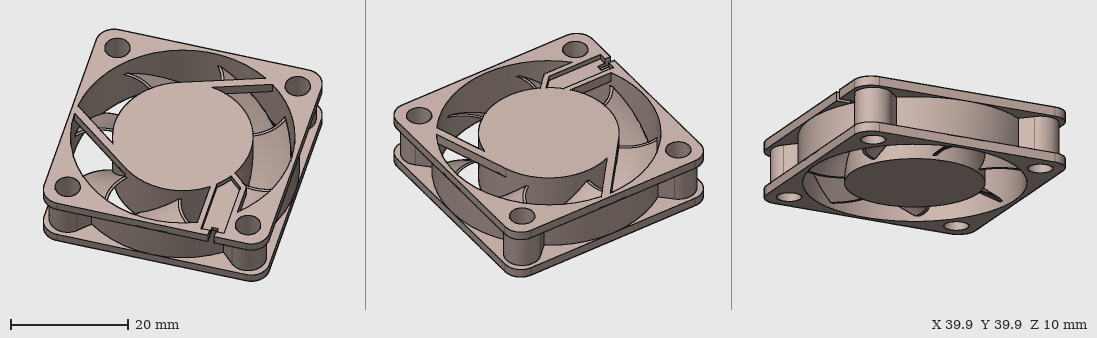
import cadquery as cq
import math

frame_size = 39.88
frame_height = 10.0
flange_thickness = 1.67
corner_radius = 3.2
duct_radius = 19.15
duct_wall_radius = frame_size / 2
hole_offset = 15.95
hole_diameter = 4.3
post_radius = 3.2

hub_radius = 12.0
spoke_width = 1.45
spoke_thickness = 1.9
spoke_angles = (19.0, 141.0)

channel_left = 8.4
channel_right = 12.5
channel_front = -18.8
channel_shoulder = -8.3
channel_slope_angle = 43.0
channel_wall = 0.95
channel_depth = 0.95
notch_left = 9.95
notch_width = 1.1
notch_end = -17.3

blade_count = 7
blade_bottom = 0.7
blade_top = 7.75
blade_twist = 36.6
blade_tip_radius = 18.5
blade_root_depth = 0.8
blade_root_radius = hub_radius - blade_root_depth
blade_thickness = 0.48
blade_arc_radius = 7.8
blade_arc_offset = 14.65
blade_arc_angle = 20.5

flange_bottom = frame_height - flange_thickness
spoke_bottom = frame_height - spoke_thickness


def flange(base):
    plate = cq.Workplane("XY").workplane(offset=base).rect(frame_size, frame_size)
    return plate.extrude(flange_thickness).edges("|Z").fillet(corner_radius)


def corner_post(angle):
    """Round post carried on a straight web that runs along the diagonal."""
    reach = hole_offset * math.sqrt(2)
    web = cq.Workplane("XY").center(reach / 2, 0).rect(reach, 2 * post_radius).extrude(frame_height)
    post = cq.Workplane("XY").center(reach, 0).circle(post_radius).extrude(frame_height)
    return web.union(post).rotate((0, 0, 0), (0, 0, 1), angle)


def frame():
    body = cq.Workplane("XY").circle(duct_wall_radius).extrude(frame_height)
    body = body.union(flange(0)).union(flange(flange_bottom))
    for angle in (45, 135, 225, 315):
        body = body.union(corner_post(angle))
    holes = (
        cq.Workplane("XY")
        .rect(2 * hole_offset, 2 * hole_offset, forConstruction=True)
        .vertices()
        .circle(hole_diameter / 2)
        .extrude(frame_height)
    )
    duct = cq.Workplane("XY").circle(duct_radius).extrude(frame_height)
    return body.cut(holes).cut(duct)


def spoke(angle):
    """Bar whose outer side is tangent to the hub and whose end sinks into the duct wall."""
    end_radius = (duct_radius + duct_wall_radius) / 2
    bar = cq.Workplane("XY").moveTo(0, hub_radius - spoke_width)
    bar = bar.rect(end_radius, spoke_width, centered=False).extrude(spoke_thickness)
    bar = bar.intersect(cq.Workplane("XY").circle(end_radius).extrude(spoke_thickness))
    bar = bar.rotate((0, 0, 0), (0, 0, 1), angle)
    return bar.translate((0, 0, spoke_bottom))


def channel_prism(margin, base):
    """Channel outline grown by a margin, up to the top face and clear of the hub."""
    slope_angle = math.radians(channel_slope_angle)
    left = channel_left - margin
    right = channel_right + margin
    shoulder = channel_shoulder + margin * (1 / math.cos(slope_angle) - math.tan(slope_angle))
    peak = shoulder + (right - left) * math.tan(slope_angle)
    outline = [(left, channel_front), (right, channel_front), (right, shoulder), (left, peak)]
    prism = cq.Workplane("XY").workplane(offset=base).polyline(outline).close()
    hub_clearance = cq.Workplane("XY").circle(hub_radius).extrude(frame_height)
    return prism.extrude(frame_height - base).cut(hub_clearance)


def channel_support():
    """Bridge under the channel, as deep as the spokes and held inside the duct wall."""
    duct_limit = cq.Workplane("XY").circle(duct_wall_radius).extrude(frame_height)
    return channel_prism(channel_wall, spoke_bottom).intersect(duct_limit)


def cable_notch():
    front = -frame_size / 2
    notch = cq.Workplane("XY").workplane(offset=flange_bottom)
    notch = notch.moveTo(notch_left, front).rect(notch_width, notch_end - front, centered=False)
    return notch.extrude(flange_thickness)


def blade_point(arc_radius, distance):
    """Point of a blade arc that lies at the given distance from the fan axis."""
    cosine = (blade_arc_offset**2 + distance**2 - arc_radius**2) / (2 * blade_arc_offset * distance)
    angle = math.radians(blade_arc_angle) - math.acos(cosine)
    return distance * math.cos(angle), distance * math.sin(angle)


def blade():
    """Thin arched strip, twisted about the fan axis as it rises."""
    outer = blade_arc_radius
    inner = blade_arc_radius - blade_thickness
    middle = (blade_root_radius + blade_tip_radius) / 2
    section = (
        cq.Workplane("XY")
        .workplane(offset=blade_bottom)
        .moveTo(*blade_point(outer, blade_root_radius))
        .threePointArc(blade_point(outer, middle), blade_point(outer, blade_tip_radius))
        .lineTo(*blade_point(inner, blade_tip_radius))
        .threePointArc(blade_point(inner, middle), blade_point(inner, blade_root_radius))
        .close()
    )
    return section.twistExtrude(blade_top - blade_bottom, blade_twist)


def rotor():
    body = cq.Workplane("XY").circle(hub_radius).extrude(frame_height)
    single_blade = blade()
    for index in range(blade_count):
        body = body.union(single_blade.rotate((0, 0, 0), (0, 0, 1), index * 360 / blade_count))
    return body


result = frame().union(rotor())
for spoke_angle in spoke_angles:
    result = result.union(spoke(spoke_angle))
result = result.union(channel_support())
result = result.cut(channel_prism(0, frame_height - channel_depth))
result = result.cut(cable_notch())